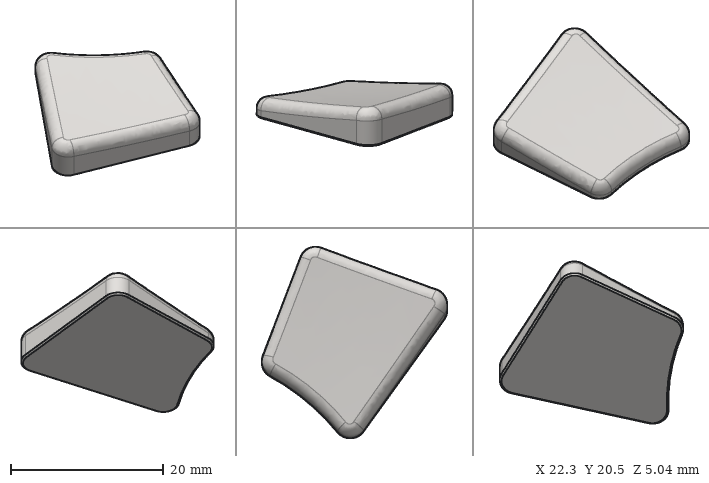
import cadquery as cq
import math

front_wall_angle = 14.0
right_wall_length = 21.14
left_arc_center_x = -48.05
left_arc_center_y = 2.60
left_arc_radius = 30.32
corner_radius = 4.25 / 2

dish_radius = 327.0
dish_floor_z = 1.035

top_fillet_radius = 1.5
bottom_chamfer = 0.25
blank_height = 8.0


def left_arc_point(angle):
    """Point of the left wall at an angle (radians) about its axis."""
    return (
        left_arc_center_x + left_arc_radius * math.cos(angle),
        left_arc_center_y + left_arc_radius * math.sin(angle),
    )


def front_left_arc_angle():
    """Angle about the left wall axis at which the front wall meets it."""
    wall_angle = -math.radians(front_wall_angle)
    gap = (
        (left_arc_center_y + right_wall_length) * math.cos(wall_angle)
        - left_arc_center_x * math.sin(wall_angle)
    )
    return wall_angle - math.asin(gap / left_arc_radius)


def make_blank():
    """Straight-walled block with rounded vertical corners."""
    back_angle = -math.asin(left_arc_center_y / left_arc_radius)
    front_angle = front_left_arc_angle()
    return (
        cq.Workplane("XY")
        .lineTo(0, -right_wall_length)
        .lineTo(*left_arc_point(front_angle))
        .threePointArc(
            left_arc_point((front_angle + back_angle) / 2),
            left_arc_point(back_angle),
        )
        .close()
        .extrude(blank_height)
        .edges("|Z")
        .fillet(corner_radius)
    )


def make_dish():
    """Sphere that hollows the top face."""
    center = (left_arc_center_x, left_arc_center_y, dish_floor_z + dish_radius)
    return cq.Workplane("XY").sphere(dish_radius).translate(center)


def round_and_break_edges(body):
    """Chamfer the bottom rim and round the rim of the dished top."""
    body = body.faces("<Z").chamfer(bottom_chamfer)
    return body.faces(">Z").fillet(top_fillet_radius)


dished_block = make_blank().cut(make_dish())
result = round_and_break_edges(dished_block)